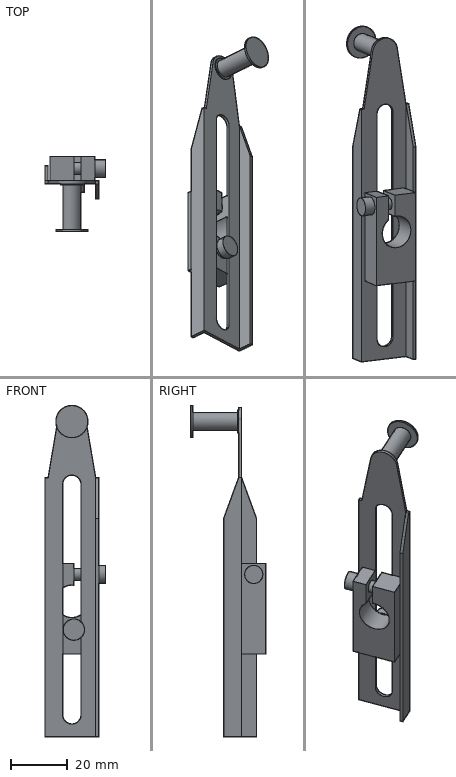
import cadquery as cq
import math

sheet = 1.1
arm_width = 19.05
flange_depth = 6.4
shoulder_z = 91.5
flange_full_z = 77.0
tip_radius = 5.0

slot_width = 6.4
slot_bottom_z = 4.55
slot_top_z = 92.3

disc_diameter = 11.4
disc_thickness = 0.75
post_diameter = 6.4
handle_front_y = -18.0
collar_diameter = 8.0
collar_thickness = 0.35
total_height = 116.97

block_width = 15.88
block_depth = 8.54
block_height = 32.0
block_bottom_z = 29.2
block_center_x = 0.2
bore_diameter = 11.4
bore_z = 47.8
split_left_x = 0.7
split_width = 2.5

screw_z = 57.3
screw_diameter = 4.3
screw_head_diameter = 6.4
screw_end_x = 11.905

peg_diameter = 7.5
peg_shank_diameter = 6.4
peg_x = 0.7
peg_z = 37.8
peg_projection = 3.0

half_width = arm_width / 2
inner_half_width = half_width - sheet
tip_z = total_height - disc_diameter / 2
block_right_x = block_center_x + block_width / 2


def cylinder_along_y(diameter, x, z, y_back, y_front):
    """Round bar running from y_back forward (toward -Y) to y_front."""
    plane = cq.Workplane("XZ", origin=(x, y_back, z))
    return plane.circle(diameter / 2).extrude(y_back - y_front)


def cylinder_along_x(diameter, y, z, x_start, x_end):
    """Round bar running in +X from x_start to x_end."""
    plane = cq.Workplane("YZ", origin=(x_start, y, z))
    return plane.circle(diameter / 2).extrude(x_end - x_start)


def box_between(x_left, x_right, y_front, y_back, z_bottom, z_top):
    """Box spanning the given limits."""
    size = (x_right - x_left, y_back - y_front, z_top - z_bottom)
    return cq.Workplane("XY", origin=(x_left, y_front, z_bottom)).box(*size, centered=False)


def make_plate():
    """Flat arm whose taper runs tangent into the round tip, with its long slot."""
    rise = tip_z - shoulder_z
    corner_distance = math.hypot(inner_half_width, rise)
    tangent_angle = math.acos(tip_radius / corner_distance) - math.atan2(rise, inner_half_width)
    tangent_x = tip_radius * math.cos(tangent_angle)
    tangent_z = tip_z + tip_radius * math.sin(tangent_angle)
    plate = (
        cq.Workplane("XZ")
        .moveTo(-half_width, 0)
        .lineTo(half_width, 0)
        .lineTo(half_width, shoulder_z)
        .lineTo(inner_half_width, shoulder_z)
        .lineTo(tangent_x, tangent_z)
        .threePointArc((0, tip_z + tip_radius), (-tangent_x, tangent_z))
        .lineTo(-inner_half_width, shoulder_z)
        .lineTo(-half_width, shoulder_z)
        .close()
        .extrude(sheet)
    )
    slot = (
        cq.Workplane("XZ", origin=(0, 0, (slot_bottom_z + slot_top_z) / 2))
        .slot2D(slot_top_z - slot_bottom_z, slot_width, 90)
        .extrude(sheet)
    )
    return plate.cut(slot)


def make_flange(x_left, root_y, inner_y, edge_y):
    """Side flange, as deep as edge_y, with its top sloping down from inner_y."""
    return (
        cq.Workplane("YZ", origin=(x_left, 0, 0))
        .moveTo(root_y, 0)
        .lineTo(edge_y, 0)
        .lineTo(edge_y, flange_full_z)
        .lineTo(inner_y, shoulder_z)
        .lineTo(root_y, shoulder_z)
        .close()
        .extrude(sheet)
    )


def make_arm():
    """Z-section arm: left flange bent backward, right flange bent forward."""
    left_flange = make_flange(-half_width, -sheet, 0, flange_depth - sheet)
    right_flange = make_flange(inner_half_width, 0, -sheet, -flange_depth)
    return make_plate().union(left_flange).union(right_flange)


def make_handle():
    """Post with a collar at the arm and a disc at its free end."""
    post = cylinder_along_y(post_diameter, 0, tip_z, 0, handle_front_y)
    collar = cylinder_along_y(collar_diameter, 0, tip_z, 0, -sheet - collar_thickness)
    disc = cylinder_along_y(disc_diameter, 0, tip_z, handle_front_y + disc_thickness, handle_front_y)
    return post.union(collar).union(disc)


def make_clamp():
    """Block with a through bore, split from the bore to its top face."""
    block_top_z = block_bottom_z + block_height
    block = box_between(
        block_right_x - block_width, block_right_x, 0, block_depth, block_bottom_z, block_top_z
    )
    bore = cylinder_along_y(bore_diameter, 0, bore_z, block_depth, 0)
    split = box_between(
        split_left_x, split_left_x + split_width, 0, block_depth, bore_z, block_top_z
    )
    return block.cut(bore).cut(split)


def make_screw():
    """Screw crossing the split, with its head on the block's right side."""
    screw_y = block_depth / 2
    shank = cylinder_along_x(screw_diameter, screw_y, screw_z, split_left_x, block_right_x)
    head = cylinder_along_x(screw_head_diameter, screw_y, screw_z, block_right_x, screw_end_x)
    return shank.union(head)


def make_peg():
    """Peg on the block: a shank through the slot and a head in front of the arm."""
    shank = cylinder_along_y(peg_shank_diameter, peg_x, peg_z, 0, -sheet)
    head = cylinder_along_y(peg_diameter, peg_x, peg_z, -sheet, -sheet - peg_projection)
    return shank.union(head)


result = make_arm().union(make_handle()).union(make_clamp()).union(make_screw()).union(make_peg())